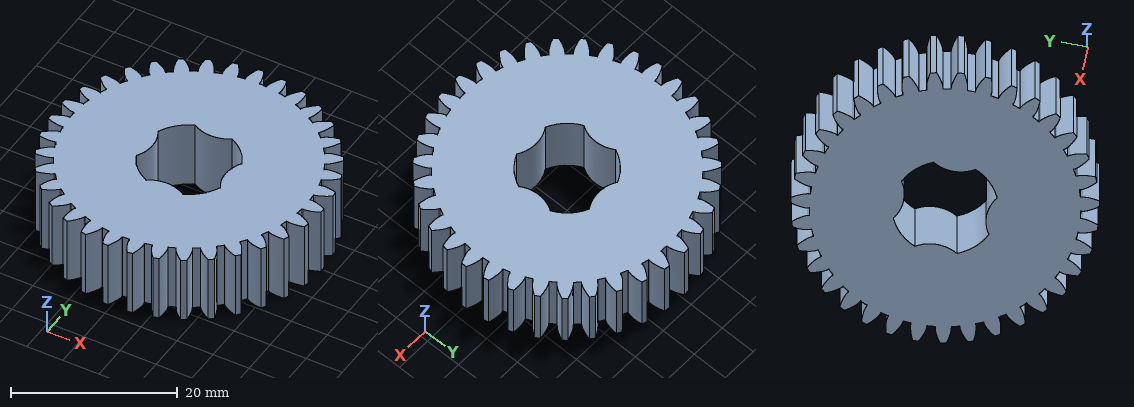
import cadquery as cq
import math

OUTER_SIZE = 37.0
THICKNESS = 9.4
TOOTH_COUNT = 35
PRESSURE_ANGLE = math.radians(20)
ADDENDUM_FACTOR = 1.0
DEDENDUM_FACTOR = 1.25

BORE_RADIUS = 6.35
LOBE_COUNT = 4
LOBE_RADIUS = 4.7
CREST_DISTANCE = 5.05

FLANK_STEPS = 6


def involute(angle):
    return math.tan(angle) - angle


tooth_pitch = 2 * math.pi / TOOTH_COUNT
tip_teeth = TOOTH_COUNT + 2 * ADDENDUM_FACTOR
half_tooth_at_base = tooth_pitch / 4 + involute(PRESSURE_ANGLE)
tip_pressure = math.acos(TOOTH_COUNT * math.cos(PRESSURE_ANGLE) / tip_teeth)
half_tooth_at_tip = half_tooth_at_base - involute(tip_pressure)

quarter_turn = math.pi / 2
tooth_lean = abs(round(quarter_turn / tooth_pitch) * tooth_pitch - quarter_turn)
tip_radius = OUTER_SIZE / 2 / math.cos(tooth_lean - half_tooth_at_tip)

gear_module = 2 * tip_radius / tip_teeth
pitch_radius = gear_module * TOOTH_COUNT / 2
base_radius = pitch_radius * math.cos(PRESSURE_ANGLE)
root_radius = pitch_radius - DEDENDUM_FACTOR * gear_module


def polar(radius, angle):
    return (radius * math.cos(angle), radius * math.sin(angle))


def flank(tooth_angle, side):
    """Involute points from base circle to tip; side is -1 or +1."""
    points = []
    for step in range(FLANK_STEPS + 1):
        radius = base_radius + (tip_radius - base_radius) * step / FLANK_STEPS
        pressure = math.acos(base_radius / radius)
        half_tooth = half_tooth_at_base - involute(pressure)
        points.append(polar(radius, tooth_angle + side * half_tooth))
    return points


def toothed_blank():
    """Solid gear body: teeth joined by short radial roots and root-circle arcs."""
    outline = cq.Workplane("XY").moveTo(*polar(root_radius, -half_tooth_at_base))
    for tooth in range(TOOTH_COUNT):
        angle = tooth * tooth_pitch
        rising = flank(angle, -1)
        falling = flank(angle, 1)[::-1]
        mid_gap = polar(root_radius, angle + tooth_pitch / 2)
        next_root = polar(root_radius, angle + tooth_pitch - half_tooth_at_base)
        outline = (
            outline.lineTo(*rising[0])
            .spline(rising[1:], includeCurrent=True)
            .threePointArc(polar(tip_radius, angle), falling[0])
            .spline(falling[1:], includeCurrent=True)
            .lineTo(*polar(root_radius, angle + half_tooth_at_base))
            .threePointArc(mid_gap, next_root)
        )
    return outline.close().extrude(THICKNESS)


def lobed_bore():
    """Round bore volume with a convex lobe reaching in from each side."""
    bore = cq.Workplane("XY").circle(BORE_RADIUS).extrude(THICKNESS)
    lobes = (
        cq.Workplane("XY")
        .polarArray(CREST_DISTANCE + LOBE_RADIUS, 0, 360, LOBE_COUNT)
        .circle(LOBE_RADIUS)
        .extrude(THICKNESS)
    )
    return bore.cut(lobes)


result = toothed_blank().cut(lobed_bore())